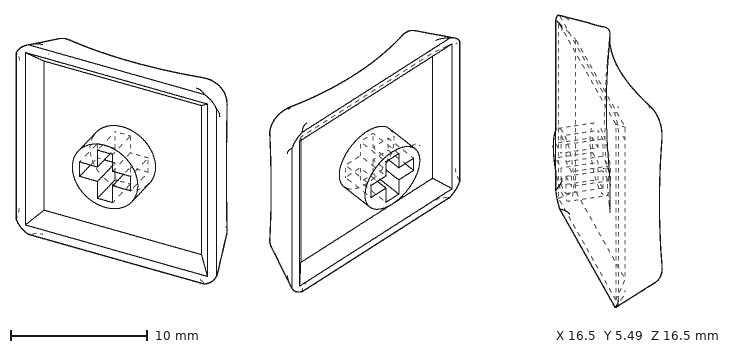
import cadquery as cq
import math

cap_width = 16.5
rim_band = 0.5
side_angle = 17.0
corner_radius = 2.0
edge_radius = 0.5
blank_height = 4.95

dish_floor = 2.03
dish_radius_x = 17.16
dish_radius_z = 62.7
dish_half_width = 9.9

pocket_width = 15.0
pocket_floor_width = 12.97
pocket_depth = 1.0

stem_diameter = 5.4
stem_length = 1.8
cross_length = 4.19
cross_arm_width = 1.25


def plane_at(height):
    """Workplane parallel to the rim, with its normal toward +Y."""
    return cq.Workplane("XZ", origin=(0, height, 0)).transformed(rotate=(180, 0, 0))


def make_tapered_body():
    """Leaning walls that reach full cap width at the top of the rim band."""
    slope = math.tan(math.radians(side_angle))
    base_width = cap_width + 2 * rim_band * slope
    top_width = base_width - 2 * blank_height * slope
    body = plane_at(0).rect(base_width, base_width)
    body = body.workplane(offset=blank_height).rect(top_width, top_width).loft(ruled=True)
    return body.edges("not(#Y or |X or |Z)").fillet(corner_radius)


def make_dish():
    """Barrel whose curved side forms the doubly curved finger dish."""
    axis_height = dish_floor + dish_radius_z
    drop = dish_radius_x - math.sqrt(dish_radius_x**2 - dish_half_width**2)
    end_height = dish_floor + drop
    return (
        cq.Workplane("XY")
        .moveTo(-dish_half_width, axis_height)
        .lineTo(-dish_half_width, end_height)
        .threePointArc((0, dish_floor), (dish_half_width, end_height))
        .lineTo(dish_half_width, axis_height)
        .close()
        .revolve(360, (0, axis_height, 0), (1, axis_height, 0))
    )


def make_pocket():
    return (
        plane_at(0).rect(pocket_width, pocket_width)
        .workplane(offset=pocket_depth).rect(pocket_floor_width, pocket_floor_width)
        .loft(ruled=True)
    )


def make_stem():
    """Round post from the pocket floor with a cross-shaped socket along its full length."""
    length = stem_length + pocket_depth
    stem = plane_at(-stem_length).circle(stem_diameter / 2).extrude(length)
    for size_x, size_z in ((cross_length, cross_arm_width), (cross_arm_width, cross_length)):
        stem = stem.cut(plane_at(-stem_length).rect(size_x, size_z).extrude(length))
    return stem


cap = make_tapered_body().cut(make_dish())
cap = cap.faces(">Y").edges().fillet(edge_radius)
cap = cap.intersect(plane_at(0).rect(cap_width, cap_width).extrude(blank_height))

result = cap.cut(make_pocket()).union(make_stem())